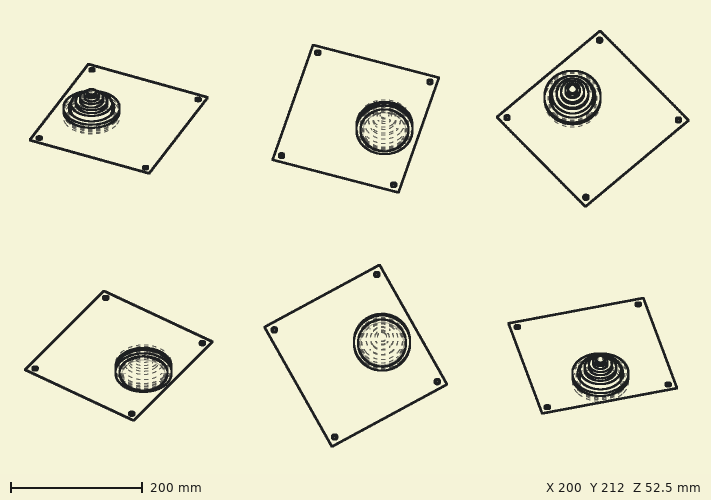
import cadquery as cq

plate_x = 200.0
plate_y = 212.0
plate_thickness = 0.8
corner_radius = 0.8
plate_top = plate_thickness

hole_inset = 11.0
dimple_radius = 4.0
dimple_tip_radius = 3.5
dimple_drop = 0.8
screw_hole_radius = 2.5

grommet_x = -45.5
total_height = 52.5
groove_radius = 37.0
groove_width = 4.5
flange_radius = 42.8
upper_flange_height = 6.1
lower_flange_height = 7.0
base_radius = 36.5
base_height = 4.9
base_fillet = 3.4

step_radii = [31.2, 24.2, 17.5, 11.0, 7.0]
lower_step_heights = [7.8, 5.5, 6.8, 6.1]
body_height = base_height + lower_flange_height + groove_width + upper_flange_height
tip_height = total_height - body_height - sum(lower_step_heights)
step_heights = lower_step_heights + [tip_height]

recess_radius = 34.5
recess_depth = 18.2

groove_bottom = plate_top - groove_width
base_bottom = groove_bottom - lower_flange_height - base_height
flange_top = plate_top + upper_flange_height


def disc(radius, bottom, height):
    """Solid disc on the grommet axis."""
    return cq.Workplane("XY", origin=(grommet_x, 0, bottom)).circle(radius).extrude(height)


def cone(x, y, bottom, bottom_radius, top, top_radius):
    """Truncated cone standing on the given point."""
    return cq.Workplane(
        cq.Solid.makeCone(bottom_radius, top_radius, top - bottom, cq.Vector(x, y, bottom))
    )


def make_plate():
    plate = cq.Workplane("XY").box(plate_x, plate_y, plate_thickness, centered=(True, True, False))
    plate = plate.edges("|Z").fillet(corner_radius)
    hole_x = plate_x / 2 - hole_inset
    hole_y = plate_y / 2 - hole_inset
    for x in (-hole_x, hole_x):
        for y in (-hole_y, hole_y):
            plate = plate.union(cone(x, y, -dimple_drop, dimple_tip_radius, 0, dimple_radius))
            plate = plate.cut(cone(x, y, -dimple_drop, screw_hole_radius, plate_top, dimple_radius))
    return plate.cut(disc(groove_radius, 0, plate_thickness))


def make_grommet():
    grommet = disc(base_radius, base_bottom, base_height).faces("<Z").edges().fillet(base_fillet)
    grommet = grommet.union(disc(flange_radius, base_bottom + base_height, lower_flange_height))
    grommet = grommet.union(disc(groove_radius, groove_bottom, groove_width))
    grommet = grommet.union(disc(flange_radius, plate_top, upper_flange_height))
    bottom = flange_top
    for radius, height in zip(step_radii, step_heights):
        grommet = grommet.union(disc(radius, bottom, height))
        bottom += height
    recess_floor = flange_top - recess_depth
    recess = disc(recess_radius, recess_floor, recess_depth)
    recess = recess.cut(disc(step_radii[0], recess_floor, recess_depth))
    return grommet.cut(recess)


plate = make_plate()
grommet = make_grommet()

result = cq.Compound.makeCompound([plate.val(), grommet.val()])